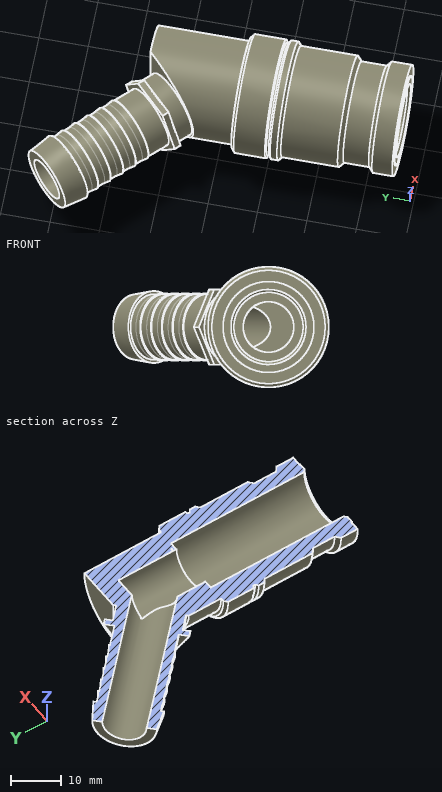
import cadquery as cq
import math

collar_radius = 12.005
body_radius = 11.25
tube_radius = 10.5
neck_radius = 10.25
lip_radius = 9.0
lip_height = 0.15
flange_end = 4.2
neck_start = 5.1
neck_end = 10.25
body_start = 11.2
body_end = 22.65
band_start = 23.3
band_end = 24.65
groove_radius = 11.4
groove_start = 25.1
groove_end = 25.5
collar_start = 25.7
collar_shoulder = 32.05
collar_end = 32.7
body_length = 51.25

socket_radius = 6.9
socket_chamfer = 0.6
socket_depth = collar_end
passage_radius = 5.0
passage_depth = 46.65

nozzle_angle = 45.0
nozzle_length = 29.95
nozzle_bore_radius = 4.45
root_radius = 7.1
joint_overlap = 0.7
hose_radius = 6.5
hex_start = 3.7
hex_thickness = 1.4
hex_across_flats = 15.0
tip_barb_radius = 7.2
tip_barb_length = 4.95
ridge_radius = 6.75
ridge_width = 1.4
ridge_pitch = 3.0
ridge_count = 5
first_ridge = 6.4

axis_crossing = 40.8
seat_distance = 7.2
tip_distance = seat_distance + nozzle_length


def turned(points):
    """Revolve a (radius, height) outline, closed along the axis, about Y."""
    return cq.Workplane("XY").polyline(points).close().revolve(360, (0, 0, 0), (0, 1, 0))


def rod(radius, start, end):
    """Round rod along Y between two heights."""
    return turned([(0, start), (radius, start), (radius, end), (0, end)])


def place_on_nozzle_axis(shape):
    """Move a shape built along Y onto the tilted nozzle axis."""
    tilted = shape.rotate((0, 0, 0), (0, 0, 1), nozzle_angle)
    return tilted.translate((0, axis_crossing, 0))


def make_body():
    body = turned([
        (0, 0),
        (lip_radius, 0),
        (lip_radius, lip_height),
        (body_radius, lip_height),
        (body_radius, flange_end),
        (neck_radius, neck_start),
        (neck_radius, neck_end),
        (body_radius, body_start),
        (body_radius, body_end),
        (collar_radius, band_start),
        (collar_radius, band_end),
        (groove_radius, groove_start),
        (groove_radius, groove_end),
        (collar_radius, collar_start),
        (collar_radius, collar_shoulder),
        (body_radius, collar_end),
        (tube_radius, collar_end),
        (tube_radius, body_length),
        (0, body_length),
    ])
    waste_size = 2 * body_length
    waste = cq.Workplane("XY").box(waste_size, waste_size, waste_size)
    waste = waste.translate((0, seat_distance + waste_size / 2, 0))
    return body.cut(place_on_nozzle_axis(waste))


def make_nozzle():
    hex_end = seat_distance + hex_start + hex_thickness
    embedded_start = seat_distance - joint_overlap
    nozzle = rod(root_radius, embedded_start, hex_end)
    nozzle = nozzle.union(rod(hose_radius, hex_end, tip_distance))

    hex_diameter = hex_across_flats / math.cos(math.pi / 6)
    stop = cq.Workplane("XZ").polygon(6, hex_diameter).extrude(-hex_thickness)
    nozzle = nozzle.union(stop.translate((0, seat_distance + hex_start, 0)))

    def barb(tip_gap, length, radius):
        thin_end = tip_distance - tip_gap
        shoulder = thin_end - length
        return turned([(0, shoulder), (radius, shoulder), (hose_radius, thin_end), (0, thin_end)])

    nozzle = nozzle.union(barb(0, tip_barb_length, tip_barb_radius))
    for index in range(ridge_count):
        gap = first_ridge + index * ridge_pitch
        nozzle = nozzle.union(barb(gap, ridge_width, ridge_radius))
    return place_on_nozzle_axis(nozzle)


def make_body_bore():
    return turned([
        (0, 0),
        (socket_radius + socket_chamfer, 0),
        (socket_radius, socket_chamfer),
        (socket_radius, socket_depth),
        (passage_radius, socket_depth),
        (passage_radius, passage_depth),
        (0, passage_depth),
    ])


nozzle_bore = place_on_nozzle_axis(rod(nozzle_bore_radius, 0, tip_distance))
result = make_body().union(make_nozzle()).cut(make_body_bore()).cut(nozzle_bore)